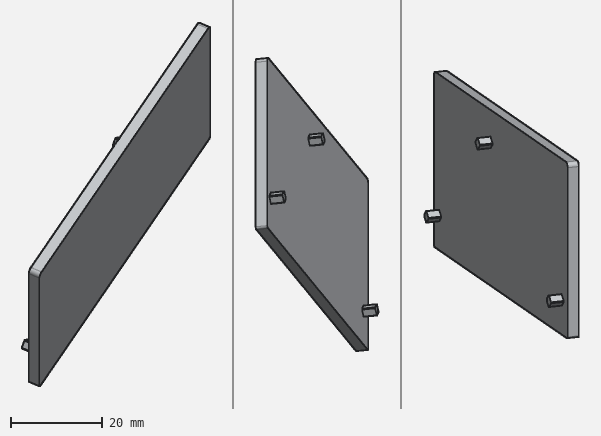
import cadquery as cq

plate_length = 78.8
plate_height = 40.1
plate_thickness = 2.7
upper_corner_radius = 1.0
lower_corner_radius = 0.5

pin_length = 3.0
pin_side = 2.05
pin_turn = 45.0
pin_chamfer = 0.2
lower_pin_z = -12.1
pin_centres = [
    (6.15, 12.6),
    (36.4, lower_pin_z),
    (-35.8, lower_pin_z),
]


def make_plate():
    plate = cq.Workplane("YZ").rect(plate_length, plate_height).extrude(plate_thickness)
    plate = plate.faces(">Z").edges("|X").fillet(upper_corner_radius)
    return plate.faces("<Z").edges("|X").fillet(lower_corner_radius)


def make_pin(y, z):
    pin = cq.Workplane("YZ").rect(pin_side, pin_side).extrude(-pin_length)
    pin = pin.edges("|X").chamfer(pin_chamfer)
    return pin.rotate((0, 0, 0), (1, 0, 0), pin_turn).translate((0, y, z))


result = make_plate()
for pin_y, pin_z in pin_centres:
    result = result.union(make_pin(pin_y, pin_z))